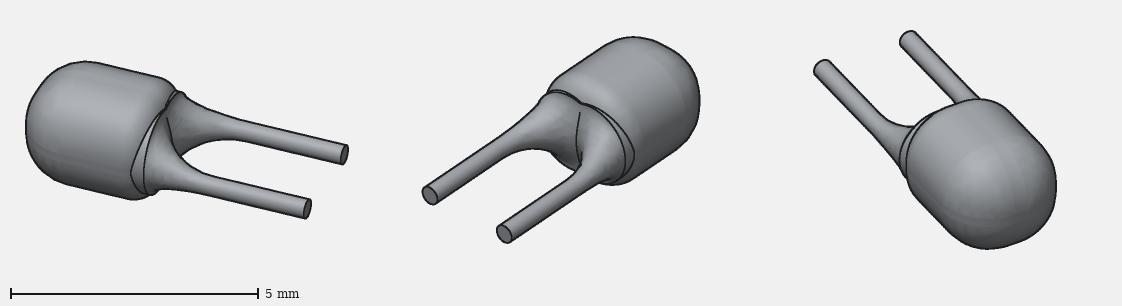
import cadquery as cq
import math

total_length = 6.4
body_width = 2.5
body_height = 2.4

body_length = 2.905
edge_radius = 1.1
nose_radius = 1.095
rear_radius = 0.5

lead_diameter = 0.4
lead_spacing = 2.0
lead_radius = lead_diameter / 2
lead_y = lead_spacing / 2
lead_outer_y = lead_y + lead_radius
lead_inner_y = lead_y - lead_radius

flare_radius = 1.41
flare_steps = 8
flare_root_overlap = 0.32


def make_body():
    """Rounded bar with a nearly hemispherical nose and a softer rear edge."""
    bar = cq.Workplane("YZ").rect(body_width, body_height).extrude(body_length)
    bar = bar.edges("|X").fillet(edge_radius)
    bar = bar.faces("<X").edges().fillet(nose_radius)
    return bar.faces(">X").edges().fillet(rear_radius)


def flare_circle(angle):
    """Centre and radius of the flare section at an angle along its inner arc.

    Every section touches the outer side of the lead; its inner side follows
    an arc tangent to the flat rear face and to the lead.
    """
    x = body_length + flare_radius * (1 - math.cos(angle))
    inner_y = lead_inner_y - flare_radius * (1 - math.sin(angle))
    radius = (lead_outer_y - inner_y) / 2
    return cq.Vector(x, lead_outer_y - radius, 0), radius


def make_flare():
    """Trumpet between the body and the lead on the +Y side, cut at mid-plane."""
    axis = cq.Vector(1, 0, 0)
    sections = []
    for step in range(flare_steps + 1):
        center, radius = flare_circle(math.pi / 2 * step / flare_steps)
        sections.append(cq.Wire.makeCircle(radius, center, axis))
    trumpet = cq.Workplane(cq.Solid.makeLoft(sections))

    root_center, root_radius = flare_circle(0)
    root_start = root_center - axis * flare_root_overlap
    root = cq.Solid.makeCylinder(root_radius, flare_root_overlap, root_start, axis)

    positive_side = cq.Workplane("XY").box(
        total_length, body_width, body_height, centered=(False, False, True)
    )
    return trumpet.union(cq.Workplane(root)).intersect(positive_side)


def make_lead():
    """Round lead on the +Y side, from the body's rear to the +X end."""
    return (
        cq.Workplane("YZ", origin=(body_length, lead_y, 0))
        .circle(lead_radius)
        .extrude(total_length - body_length)
    )


lead_side = make_flare().union(make_lead())
result = make_body().union(lead_side).union(lead_side.mirror("XZ"))